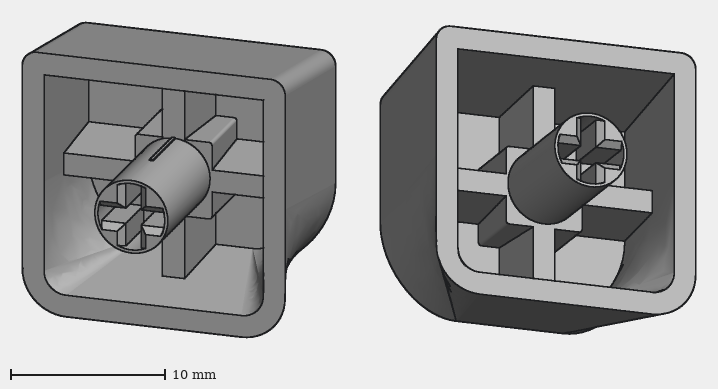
import cadquery as cq
import math


cap_size = 18.0
cap_depth = 10.5
edge_chamfer = 0.3
wall = 1.5
cavity_depth = 9.0
flank_slope = 8.0 / 56.6
upper_corner_radius = 1.0
lower_corner_radius = 3.0
cavity_corner_radius = lower_corner_radius - wall

blend_start_z = 0.15
blend_slope = 9.1 / 56.6
outer_blend_width = 5.27
cavity_blend_width = 3.78
blend_fullness = 0.5
blend_end_flat = 0.05

rib_face_y = 4.0
rib_width = 1.51
rib_draft = 5.0
block_size = 5.27
block_corner_radius = 0.22

stem_length = 4.5
stem_radius = 2.5
stem_z = 0.15
socket_radius = 2.29
socket_depth = 4.0
socket_slot_width = 1.05
socket_chamfer = 0.45
key_width = 0.25
key_length = 0.5
key_top_z = 2.7


def arc_mid(center_x, center_z, radius, side):
    """Middle point of a corner round, above (+1) or below (-1) its centre on the +X side."""
    offset = radius * math.sqrt(0.5)
    return center_x + offset, center_z + side * offset


def section_wire(y, half_width, half_height, upper_radius, lower_corner, side_z):
    """Closed section at depth y; lower_corner lists the curves from the side to the bottom."""
    def edge(points, mirror):
        vectors = [cq.Vector(mirror * x, y, z) for x, z in points]
        if len(vectors) == 2:
            return cq.Edge.makeLine(*vectors)
        if len(vectors) == 3:
            return cq.Edge.makeThreePointArc(*vectors)
        return cq.Edge.makeBezier(vectors)

    top_x = half_width - upper_radius
    side_top_z = half_height - upper_radius
    bottom_x = lower_corner[-1][-1][0]
    half = [[(half_width, side_top_z), (half_width, side_z)]] + lower_corner
    if upper_radius:
        mid = arc_mid(top_x, side_top_z, upper_radius, 1)
        half.insert(0, [(top_x, half_height), mid, (half_width, side_top_z)])

    edges = [edge([(-top_x, half_height), (top_x, half_height)], 1)]
    edges += [edge(points, 1) for points in half]
    edges.append(edge([(bottom_x, -half_height), (-bottom_x, -half_height)], 1))
    edges += [edge(points[::-1], -1) for points in half[::-1]]
    return cq.Wire.assembleEdges(edges)


def rim_section(half_size, upper_radius, lower_radius):
    """Section in the rim plane, with circular lower corners."""
    center_x = half_size - lower_radius
    center_z = -half_size + lower_radius
    lower_corner = [
        [(half_size, blend_start_z), (half_size, center_z)],
        [(half_size, center_z), arc_mid(center_x, center_z, lower_radius, -1), (center_x, -half_size)],
    ]
    return section_wire(0, half_size, half_size, upper_radius, lower_corner, blend_start_z)


def deep_section(y, half_width, half_height, upper_radius, blend_width, side_z):
    """Section inside the cap, with near-elliptical lower corners from side_z to the bottom."""
    blend_height = half_height + side_z
    bottom_x = half_width - blend_width
    handle_z = side_z - blend_fullness * blend_height
    handle_x = bottom_x + blend_fullness * blend_width
    bottom = (bottom_x, -half_height)
    lower_corner = [
        [(half_width, side_z), (half_width, handle_z), (handle_x, -half_height), bottom],
        [bottom, (bottom_x - blend_end_flat, -half_height)],
    ]
    return section_wire(y, half_width, half_height, upper_radius, lower_corner, side_z)


def make_cap():
    """Outer body: tapered loft plus the chamfered band at the closed end."""
    half = cap_size / 2
    band_y = cap_depth - edge_chamfer
    band_half_height = half - flank_slope * band_y
    band_side_z = blend_start_z - blend_slope * band_y
    rim = rim_section(half, upper_corner_radius, lower_corner_radius)
    band = deep_section(
        band_y, half, band_half_height, upper_corner_radius, outer_blend_width, band_side_z)
    end = deep_section(
        cap_depth, half - edge_chamfer, band_half_height - edge_chamfer,
        upper_corner_radius - edge_chamfer, outer_blend_width - edge_chamfer, band_side_z)
    body = cq.Workplane(cq.Solid.makeLoft([rim, band], True))
    return body.union(cq.Workplane(cq.Solid.makeLoft([band, end], True)))


def make_cavity():
    """Inner volume, with sharp upper corners."""
    half = cap_size / 2 - wall
    rim = rim_section(half, 0, cavity_corner_radius)
    floor = deep_section(
        cavity_depth, half, half - flank_slope * cavity_depth, 0, cavity_blend_width,
        blend_start_z - blend_slope * cavity_depth)
    return cq.Workplane(cq.Solid.makeLoft([rim, floor], True))


def make_ribs():
    """Drafted cross ribs and centre block, trimmed to the cavity."""
    height = cavity_depth - rib_face_y
    floor_width = rib_width + 2 * height * math.tan(math.radians(rib_draft))
    profile = [
        (-rib_width / 2, rib_face_y), (rib_width / 2, rib_face_y),
        (floor_width / 2, cavity_depth), (-floor_width / 2, cavity_depth),
    ]
    upright = cq.Workplane("XY").polyline(profile).close().extrude(cap_size / 2, both=True)
    level = upright.rotate((0, 0, 0), (0, 1, 0), 90)
    block = (
        cq.Workplane("XZ", origin=(0, rib_face_y, 0))
        .rect(block_size, block_size).extrude(-height)
        .edges("|Y").fillet(block_corner_radius)
    )
    return upright.union(level).union(block).intersect(make_cavity())


def make_stem():
    """Round stem standing on the block, with a small key along its top."""
    key_height = key_top_z - stem_z
    length = stem_length + rib_face_y
    stem = cq.Workplane("XZ", origin=(0, rib_face_y, stem_z)).circle(stem_radius).extrude(length)
    key = (
        cq.Workplane("XZ", origin=(0, rib_face_y, stem_z + key_height / 2))
        .rect(key_width, key_height).extrude(rib_face_y + key_length)
    )
    return stem.union(key)


def make_socket():
    """Cross-shaped socket with a chamfered mouth, bounded by a round bore."""
    half_slot = socket_slot_width / 2
    half_mouth = half_slot + socket_chamfer
    mouth_y = -stem_length
    bottom_y = mouth_y + socket_depth
    right_side = [(half_mouth, mouth_y), (half_slot, mouth_y + socket_chamfer), (half_slot, bottom_y)]
    left_side = [(-x, y) for x, y in right_side[::-1]]
    upright = (
        cq.Workplane("XY").polyline(right_side + left_side).close()
        .extrude(2 * socket_radius, both=True)
    )
    level = upright.rotate((0, 0, 0), (0, 1, 0), 90)
    bore = (
        cq.Workplane("XZ", origin=(0, mouth_y, stem_z))
        .circle(socket_radius).extrude(-socket_depth)
    )
    return upright.union(level).intersect(bore)


shell = make_cap().cut(make_cavity())
result = shell.union(make_ribs()).union(make_stem()).cut(make_socket())